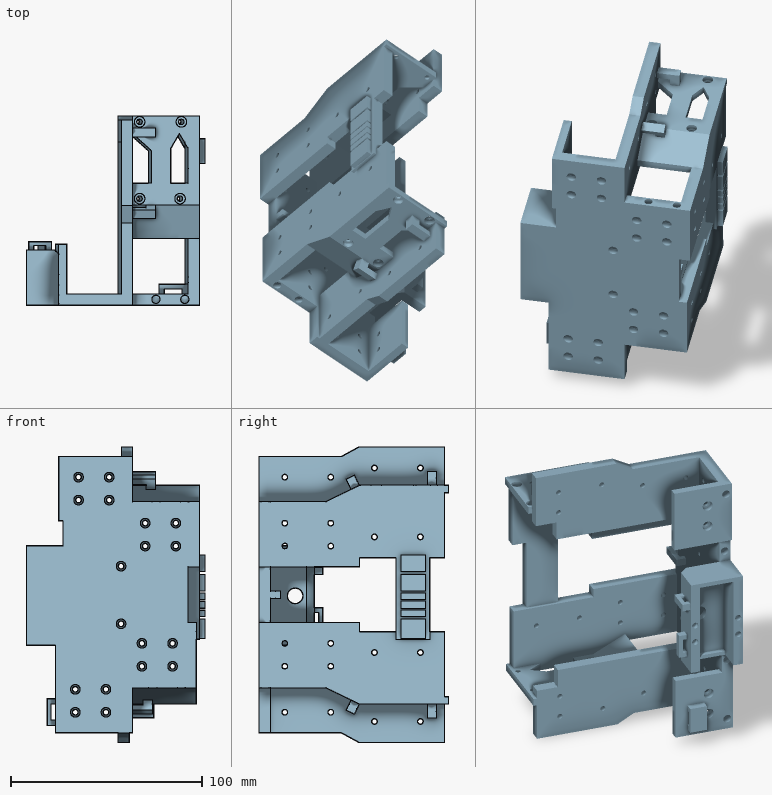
import cadquery as cq
import math

LOWER_SHIFT = -1.7

PLATE_THICKNESS = 6.0
COLUMN_LEFT = 16.8
COLUMN_RIGHT = 55.5
COLUMN_TOP = 72.2
COLUMN_BOTTOM = 38.5
NECK_LEFT = 19.0
RIGHT_EDGE = 90.4
RIGHT_TOP = 48.6
NOTCH_LEFT = 84.4
NOTCH_HALF_HEIGHT = 14.5

SIDE_WALL_THICKNESS = 4.3
SIDE_WALL_DEPTH = 32.0
MID_WALL_THICKNESS = 6.0
MID_WALL_LEFT = COLUMN_RIGHT - MID_WALL_THICKNESS
WALL_DEPTH = 97.0
MID_WALL_PEAK = 77.2
MID_WALL_RAMP_START = 43.0
MID_WALL_RAMP_END = 52.2
MID_WALL_NOTCH_Y = 85.4
RIGHT_WALL_OPENING_Y = 52.6
REAR_OPENING_HALF_HEIGHT = 19.3

ROOF_DEPTH = 99.0
ROOF_TOP = 57.2
ROOF_THICKNESS = 4.0
RAMP_START_Y = 34.9
RAMP_ANGLE = math.degrees(math.atan2(ROOF_TOP - RIGHT_TOP, RIGHT_WALL_OPENING_Y - RAMP_START_Y))

WINDOW_BOTTOM_Y = 63.9
WINDOW_SHOULDER_Y = 82.0
WINDOW_PEAK_Y = 89.7
WINDOW_LEFT = 75.4
WINDOW_RIGHT = NOTCH_LEFT
HALF_WINDOW_RIGHT = 65.3
HALF_WINDOW_SHOULDER_Y = 80.8

BRIDGE_Y = (71.5, 89.2)
BRIDGE_BOTTOM = -23.3
PAD_Y = (74.1, 87.1)
PAD_HEIGHT = 2.85
PAD_SPANS = [(12.0, 20.8), (1.9, 10.6), (-2.6, 0.9), (-7.2, -3.4), (-11.4, -8.1), (-22.9, -12.6)]

BOX_DEPTH = 29.0
BOX_TOP = 25.6
BOX_BOTTOM = -26.5
BOX_FLOOR_X = 15.1
BOX_CHAMFER = 4.2
BOX_POCKET_Y = (5.3, 24.0)
BOX_POCKET_TOP = 23.3
BOX_LIP_X = 12.4
BOX_LIP_TOP = -24.4
BOX_SCREW_DIAMETER = 3.4
BOX_SCREW_DEPTH = 8.0
BOX_SCREW_Y = (2.7, 26.7)
BOX_SCREW_Z = (1.3, -8.5)
CABLE_HOLE_DIAMETER = 8.0
CABLE_HOLE_CENTRE = (18.9, -0.6)

SCREW_DIAMETER = 2.8
PLATE_HEAD_DIAMETER = 5.0
HEAD_DIAMETER = 5.5
HEAD_DEPTH = 2.5
PLATE_HEAD_DEPTH = 4.0
SCREW_PITCH_X = 16.0
SCREW_PITCH_Z = 12.0
COLUMN_SCREW = (27.2, 49.4)
RIGHT_SCREW = (62.0, 25.4)
CENTRE_SCREW_X = 49.4
CENTRE_SCREW_Z = (14.9, -15.2)
ROOF_SCREWS = [(59.1, 95.9), (80.9, 95.9), (59.1, 55.8), (80.2, 55.8)]
COLUMN_WALL_SCREW_Y = 13.5
MID_WALL_HOLES = [(84.3, 66.2), (60.3, 66.2), (37.5, 61.4), (84.3, 54.3), (13.5, 61.4)]
RIGHT_WALL_HOLES = [(84.3, 30.2), (60.3, 30.2), (37.5, 37.4), (37.5, 25.4), (13.5, 37.4), (13.5, 25.4)]
PIN_DIAMETER = 4.3
PIN_DEPTH = 3.0
PIN_Y = 3.2
TOP_PIN_X = (67.6, 82.7)
COLUMN_PIN_Z = 66.4
NECK_PIN_Z = 31.4

CLIP_REACH = 11.9
LOWER_REAR_CLIP_REACH = 12.8
CLIP_LEG = 4.9
CLIP_ARM = 3.3
CLIP_WIDTH = 4.8
RAMP_CLIP_HEIGHT = 5.9
RAMP_CLIP_Y = 48.1
REAR_CLIP_Y = 87.9
REAR_CLIP_HEIGHT = 7.1

BOX_LOOP_HEIGHT = 4.4
BOX_LOOP_GAP = 2.2
CROSS_LOOP_X = (1.1, 13.1)
CROSS_LOOP_GAP_X = (3.8, 10.0)
CROSS_LOOP_Z = (10.5, 14.3)
TALL_LOOP_X = (6.0, 9.8)
TALL_LOOP_Z = (-19.7, -6.8)
TALL_LOOP_GAP_Z = (-17.0, -9.4)
WALL_LOOP_HEIGHT = 4.3
WALL_LOOP_GAP = 2.2
WALL_LOOP_Y = (16.1, 25.4)
WALL_LOOP_Z = (-68.4, -54.3)
WALL_LOOP_GAP_Z = (-65.4, -57.1)
PLATE_LOOP_HEIGHT = 5.2
PLATE_LOOP_GAP = 2.5
PLATE_LOOP_X = (69.2, NOTCH_LEFT)
PLATE_LOOP_GAP_X = (72.0, 81.2)
PLATE_LOOP_Z = (-1.9, 1.9)


def block(x_range, y_range, z_range):
    """Axis-aligned box between the given limits."""
    size = [end - start for start, end in (x_range, y_range, z_range)]
    corner = (x_range[0], y_range[0], z_range[0])
    return cq.Workplane("XY").box(*size, centered=False).translate(corner)


def slab_yz(points, x_start, x_end):
    """Outline in (Y, Z) extruded along X."""
    return cq.Workplane("YZ", origin=(x_start, 0, 0)).polyline(points).close().extrude(x_end - x_start)


def drill_x(x_start, points, diameter, depth):
    """Holes running in +X from x_start at (Y, Z) points."""
    return cq.Workplane("YZ", origin=(x_start, 0, 0)).pushPoints(points).circle(diameter / 2).extrude(depth)


def drill_y(y_start, points, diameter, depth):
    """Holes running in +Y from y_start at (X, Z) points."""
    plane = cq.Workplane("XZ", origin=(0, y_start, 0))
    return plane.pushPoints(points).circle(diameter / 2).extrude(-depth)


def drill_down(z_start, points, diameter, depth):
    """Holes running in -Z from z_start at (X, Y) points."""
    plane = cq.Workplane("XY", origin=(0, 0, z_start))
    return plane.pushPoints(points).circle(diameter / 2).extrude(-depth)


def to_lower(shape):
    """Counterpart of an upper feature in the lower half."""
    return shape.mirror("XY").translate((LOWER_SHIFT, 0, 0))


def front_plate():
    outline = [
        (COLUMN_LEFT, COLUMN_TOP),
        (COLUMN_RIGHT, COLUMN_TOP),
        (COLUMN_RIGHT, RIGHT_TOP),
        (RIGHT_EDGE, RIGHT_TOP),
        (RIGHT_EDGE, NOTCH_HALF_HEIGHT),
        (NOTCH_LEFT, NOTCH_HALF_HEIGHT),
        (NOTCH_LEFT, -NOTCH_HALF_HEIGHT),
        (RIGHT_EDGE + LOWER_SHIFT, -NOTCH_HALF_HEIGHT),
        (RIGHT_EDGE + LOWER_SHIFT, -RIGHT_TOP),
        (COLUMN_RIGHT, -RIGHT_TOP),
        (COLUMN_RIGHT, -COLUMN_TOP),
        (COLUMN_LEFT + LOWER_SHIFT, -COLUMN_TOP),
        (COLUMN_LEFT + LOWER_SHIFT, BOX_BOTTOM),
        (NECK_LEFT, BOX_BOTTOM),
        (NECK_LEFT, COLUMN_BOTTOM),
        (COLUMN_LEFT, COLUMN_BOTTOM),
    ]
    return cq.Workplane("XZ").polyline(outline).close().extrude(-PLATE_THICKNESS)


def column_side_wall():
    x_range = (COLUMN_LEFT, COLUMN_LEFT + SIDE_WALL_THICKNESS)
    return block(x_range, (0, SIDE_WALL_DEPTH), (COLUMN_BOTTOM, COLUMN_TOP))


def mid_wall():
    outline = [
        (0, COLUMN_BOTTOM),
        (0, COLUMN_TOP),
        (MID_WALL_RAMP_START, COLUMN_TOP),
        (MID_WALL_RAMP_END, MID_WALL_PEAK),
        (WALL_DEPTH, MID_WALL_PEAK),
        (WALL_DEPTH, RIGHT_TOP),
        (MID_WALL_NOTCH_Y, RIGHT_TOP),
        (MID_WALL_NOTCH_Y, COLUMN_BOTTOM),
    ]
    return slab_yz(outline, MID_WALL_LEFT, COLUMN_RIGHT)


def right_wall():
    outline = [
        (0, NOTCH_HALF_HEIGHT),
        (0, RIGHT_TOP),
        (RAMP_START_Y, RIGHT_TOP),
        (RIGHT_WALL_OPENING_Y, ROOF_TOP),
        (WALL_DEPTH, ROOF_TOP),
        (WALL_DEPTH, REAR_OPENING_HALF_HEIGHT),
        (RIGHT_WALL_OPENING_Y, REAR_OPENING_HALF_HEIGHT),
        (RIGHT_WALL_OPENING_Y, NOTCH_HALF_HEIGHT),
    ]
    return slab_yz(outline, NOTCH_LEFT, RIGHT_EDGE)


def roof(x_start):
    outline = [
        (RAMP_START_Y, RIGHT_TOP),
        (RIGHT_WALL_OPENING_Y, ROOF_TOP),
        (ROOF_DEPTH, ROOF_TOP),
        (ROOF_DEPTH, ROOF_TOP - ROOF_THICKNESS),
        (RIGHT_WALL_OPENING_Y, ROOF_TOP - ROOF_THICKNESS),
        (RAMP_START_Y, RIGHT_TOP - ROOF_THICKNESS),
    ]
    return slab_yz(outline, x_start, RIGHT_EDGE)


def wall_clip(reach, height):
    """Arm along +X from the middle wall, with a leg down at its end; base on Z = 0, depth from Y = 0."""
    clip = block((0, reach), (0, CLIP_WIDTH), (0, height))
    gap = block((0, reach - CLIP_LEG), (0, CLIP_WIDTH), (0, height - CLIP_ARM))
    return clip.cut(gap)


def roof_clips(rear_reach):
    ramp_foot = (COLUMN_RIGHT, RAMP_START_Y, RIGHT_TOP)
    along_ramp = (RAMP_CLIP_Y - RAMP_START_Y) / math.cos(math.radians(RAMP_ANGLE))
    ramp_clip = wall_clip(CLIP_REACH, RAMP_CLIP_HEIGHT).translate((0, along_ramp, 0))
    ramp_clip = ramp_clip.rotate((0, 0, 0), (1, 0, 0), RAMP_ANGLE).translate(ramp_foot)
    rear_clip = wall_clip(rear_reach, REAR_CLIP_HEIGHT).translate((COLUMN_RIGHT, REAR_CLIP_Y, ROOF_TOP))
    return ramp_clip.union(rear_clip)


def bridge():
    bar = block((NOTCH_LEFT, RIGHT_EDGE), BRIDGE_Y, (BRIDGE_BOTTOM, REAR_OPENING_HALF_HEIGHT))
    for span in PAD_SPANS:
        bar = bar.union(block((RIGHT_EDGE, RIGHT_EDGE + PAD_HEIGHT), PAD_Y, span))
    return bar


def side_box():
    body = block((0, NECK_LEFT), (0, BOX_DEPTH), (BOX_BOTTOM, BOX_TOP))
    body = body.edges("|Z and >X and >Y").chamfer(BOX_CHAMFER)
    pocket = block((0, BOX_FLOOR_X), BOX_POCKET_Y, (BOX_BOTTOM, BOX_POCKET_TOP))
    lip = block((BOX_LIP_X, BOX_FLOOR_X), BOX_POCKET_Y, (BOX_BOTTOM, BOX_LIP_TOP))
    screw_points = [(y, z) for y in BOX_SCREW_Y for z in BOX_SCREW_Z]
    screws = drill_x(0, screw_points, BOX_SCREW_DIAMETER, BOX_SCREW_DEPTH)
    cable_hole = drill_x(0, [CABLE_HOLE_CENTRE], CABLE_HOLE_DIAMETER, NECK_LEFT)
    return body.cut(pocket.cut(lip)).cut(screws).cut(cable_hole)


def loop(outer, opening):
    """Cable loop: a block with a through opening, each given as X, Y and Z limits."""
    return block(*outer).cut(block(*opening))


def cable_loops():
    back_outer = (BOX_DEPTH, BOX_DEPTH + BOX_LOOP_HEIGHT)
    back_inner = (BOX_DEPTH, BOX_DEPTH + BOX_LOOP_GAP)
    wall_left = COLUMN_LEFT + LOWER_SHIFT
    wall_outer = (wall_left - WALL_LOOP_HEIGHT, wall_left)
    wall_inner = (wall_left - WALL_LOOP_GAP, wall_left)
    plate_outer = (PLATE_THICKNESS, PLATE_THICKNESS + PLATE_LOOP_HEIGHT)
    plate_inner = (PLATE_THICKNESS, PLATE_THICKNESS + PLATE_LOOP_GAP)
    return [
        loop((CROSS_LOOP_X, back_outer, CROSS_LOOP_Z), (CROSS_LOOP_GAP_X, back_inner, CROSS_LOOP_Z)),
        loop((TALL_LOOP_X, back_outer, TALL_LOOP_Z), (TALL_LOOP_X, back_inner, TALL_LOOP_GAP_Z)),
        loop((wall_outer, WALL_LOOP_Y, WALL_LOOP_Z), (wall_inner, WALL_LOOP_Y, WALL_LOOP_GAP_Z)),
        loop((PLATE_LOOP_X, plate_outer, PLATE_LOOP_Z), (PLATE_LOOP_GAP_X, plate_inner, PLATE_LOOP_Z)),
    ]


def roof_windows():
    window = [
        (WINDOW_LEFT, WINDOW_BOTTOM_Y),
        (WINDOW_LEFT, WINDOW_SHOULDER_Y),
        ((WINDOW_LEFT + WINDOW_RIGHT) / 2, WINDOW_PEAK_Y),
        (WINDOW_RIGHT, WINDOW_SHOULDER_Y),
        (WINDOW_RIGHT, WINDOW_BOTTOM_Y),
    ]
    half_window = [
        (COLUMN_RIGHT, WINDOW_BOTTOM_Y),
        (COLUMN_RIGHT, WINDOW_PEAK_Y),
        (HALF_WINDOW_RIGHT, HALF_WINDOW_SHOULDER_Y),
        (HALF_WINDOW_RIGHT, WINDOW_BOTTOM_Y),
    ]
    underside = cq.Workplane("XY", origin=(0, 0, ROOF_TOP - ROOF_THICKNESS))
    return [underside.polyline(outline).close().extrude(ROOF_THICKNESS) for outline in (window, half_window)]


def roof_screws():
    return [
        drill_down(ROOF_TOP, ROOF_SCREWS, SCREW_DIAMETER, ROOF_THICKNESS),
        drill_down(ROOF_TOP, ROOF_SCREWS, HEAD_DIAMETER, HEAD_DEPTH),
    ]


def plate_screws(points):
    """Counterbored screw holes through the front plate at (X, Z) points."""
    return [
        drill_y(0, points, SCREW_DIAMETER, PLATE_THICKNESS),
        drill_y(0, points, PLATE_HEAD_DIAMETER, PLATE_HEAD_DEPTH),
    ]


def screw_patterns():
    """Two patterns of four plate screws, one in the column and one to its right."""
    points = [
        (x + column * SCREW_PITCH_X, z + row * SCREW_PITCH_Z)
        for x, z in (COLUMN_SCREW, RIGHT_SCREW)
        for column in range(2)
        for row in range(2)
    ]
    return plate_screws(points)


def wall_holes():
    column_points = [(COLUMN_WALL_SCREW_Y, COLUMN_SCREW[1] + row * SCREW_PITCH_Z) for row in range(2)]
    return [
        drill_x(COLUMN_LEFT, column_points, SCREW_DIAMETER, SIDE_WALL_THICKNESS),
        drill_x(COLUMN_LEFT, column_points, HEAD_DIAMETER, HEAD_DEPTH),
        drill_x(MID_WALL_LEFT, MID_WALL_HOLES, SCREW_DIAMETER, MID_WALL_THICKNESS),
        drill_x(NOTCH_LEFT, RIGHT_WALL_HOLES, SCREW_DIAMETER, RIGHT_EDGE - NOTCH_LEFT),
    ]


def side_pin(x_start, z):
    """Blind pin hole in the left edge of the front plate."""
    return drill_x(x_start, [(PIN_Y, z)], PIN_DIAMETER, PIN_DEPTH)


def mirrored_pins():
    top_points = [(x, PIN_Y) for x in TOP_PIN_X]
    return [
        drill_down(RIGHT_TOP, top_points, PIN_DIAMETER, PIN_DEPTH),
        side_pin(COLUMN_LEFT, COLUMN_PIN_Z),
    ]


result = front_plate()
for wall in [column_side_wall(), mid_wall(), right_wall()]:
    result = result.union(wall).union(to_lower(wall))
result = result.union(roof(COLUMN_RIGHT)).union(to_lower(roof(MID_WALL_LEFT)))

for cut in roof_windows() + roof_screws() + screw_patterns() + wall_holes() + mirrored_pins():
    result = result.cut(cut).cut(to_lower(cut))

neck_pins = [side_pin(NECK_LEFT, NECK_PIN_Z), side_pin(COLUMN_LEFT + LOWER_SHIFT, -NECK_PIN_Z)]
centre_screws = plate_screws([(CENTRE_SCREW_X, z) for z in CENTRE_SCREW_Z])
for cut in neck_pins + centre_screws:
    result = result.cut(cut)

wall_clips = [roof_clips(CLIP_REACH), to_lower(roof_clips(LOWER_REAR_CLIP_REACH))]
for body in wall_clips + [bridge(), side_box()] + cable_loops():
    result = result.union(body)